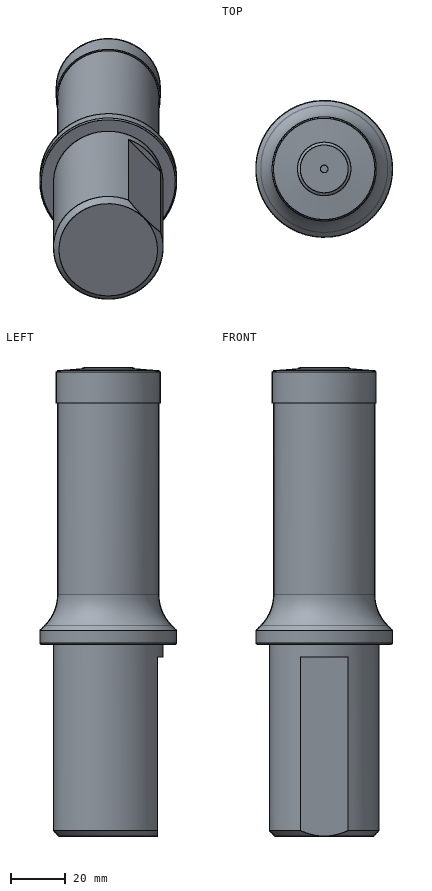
import cadquery as cq
import math

total_height = 171.0
flat_top = 65.3
flange_bottom = 70.0
flange_rim_top = 75.0
head_bottom = 158.0

shank_radius = 40.0 / 2
shank_chamfer = 2.0
flat_width = 17.3
flange_radius = 50.0 / 2
flange_edge_chamfer = 0.5
neck_radius = 37.0 / 2
neck_blend_radius = 16.0
flange_cone_angle = math.radians(45)

head_radius = 38.0 / 2
head_edge_chamfer = 0.5
head_edge_top = 169.8
boss_top_radius = 17.5 / 2
boss_base_radius = 19.5 / 2
boss_height = 0.5
center_hole_diameter = 2.7
center_hole_depth = 1.7


def blend_point(angle):
    """Point on the concave flange blend, at an angle below its horizontal radius."""
    radius = neck_radius + neck_blend_radius * (1 - math.cos(angle))
    height = blend_top - neck_blend_radius * math.sin(angle)
    return radius, height


blend_end_radius = neck_radius + neck_blend_radius * (1 - math.cos(flange_cone_angle))
cone_height = (flange_radius - blend_end_radius) * math.tan(flange_cone_angle)
blend_top = flange_rim_top + cone_height + neck_blend_radius * math.sin(flange_cone_angle)


def make_holder():
    """Turned shank, flange and neck, with a flat along the front of the shank."""
    turned = (
        cq.Workplane("XZ")
        .moveTo(0, 0)
        .lineTo(shank_radius - shank_chamfer, 0)
        .lineTo(shank_radius, shank_chamfer)
        .lineTo(shank_radius, flange_bottom)
        .lineTo(flange_radius - flange_edge_chamfer, flange_bottom)
        .lineTo(flange_radius, flange_bottom + flange_edge_chamfer)
        .lineTo(flange_radius, flange_rim_top)
        .lineTo(*blend_point(flange_cone_angle))
        .threePointArc(blend_point(flange_cone_angle / 2), (neck_radius, blend_top))
        .lineTo(neck_radius, head_bottom)
        .lineTo(0, head_bottom)
        .close()
        .revolve(360, (0, 0, 0), (0, 1, 0))
    )
    flat_distance = math.sqrt(shank_radius**2 - (flat_width / 2) ** 2)
    flat_cutter = cq.Workplane("XY").box(
        2 * shank_radius, shank_radius, flat_top, centered=(True, False, False)
    ).translate((0, -flat_distance - shank_radius, 0))
    return turned.cut(flat_cutter)


def make_head():
    """Turned head with a shallow conical face, a raised boss and a center hole."""
    turned = (
        cq.Workplane("XZ")
        .moveTo(0, head_bottom)
        .lineTo(head_radius, head_bottom)
        .lineTo(head_radius, head_edge_top - head_edge_chamfer)
        .lineTo(head_radius - head_edge_chamfer, head_edge_top)
        .lineTo(boss_base_radius, total_height - boss_height)
        .lineTo(boss_top_radius, total_height)
        .lineTo(0, total_height)
        .close()
        .revolve(360, (0, 0, 0), (0, 1, 0))
    )
    center_hole = (
        cq.Workplane("XY", origin=(0, 0, total_height - center_hole_depth))
        .circle(center_hole_diameter / 2)
        .extrude(center_hole_depth)
    )
    return turned.cut(center_hole)


holder = make_holder()
head = make_head()
result = cq.Compound.makeCompound([holder.val(), head.val()])